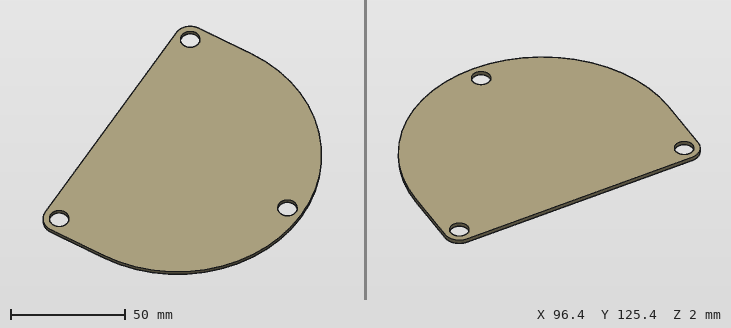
import cadquery as cq

plate_width = 125.4
plate_length = 96.4
thickness = 2.0
corner_radius = 7.0
hole_diameter = 8.5
hole_inset = 7.0

arc_radius = plate_width / 2
arc_center_x = plate_length - arc_radius
hole_offset_y = arc_radius - hole_inset
hole_centers = [
    (hole_inset, hole_offset_y),
    (hole_inset, -hole_offset_y),
    (plate_length - hole_inset, 0),
]

plate = (
    cq.Workplane("XY")
    .moveTo(0, -arc_radius)
    .lineTo(arc_center_x, -arc_radius)
    .threePointArc((plate_length, 0), (arc_center_x, arc_radius))
    .lineTo(0, arc_radius)
    .close()
    .extrude(thickness)
)

plate = plate.edges("|Z and <X").fillet(corner_radius)

result = (
    plate.faces(">Z")
    .workplane(origin=(0, 0, thickness))
    .pushPoints(hole_centers)
    .hole(hole_diameter)
)